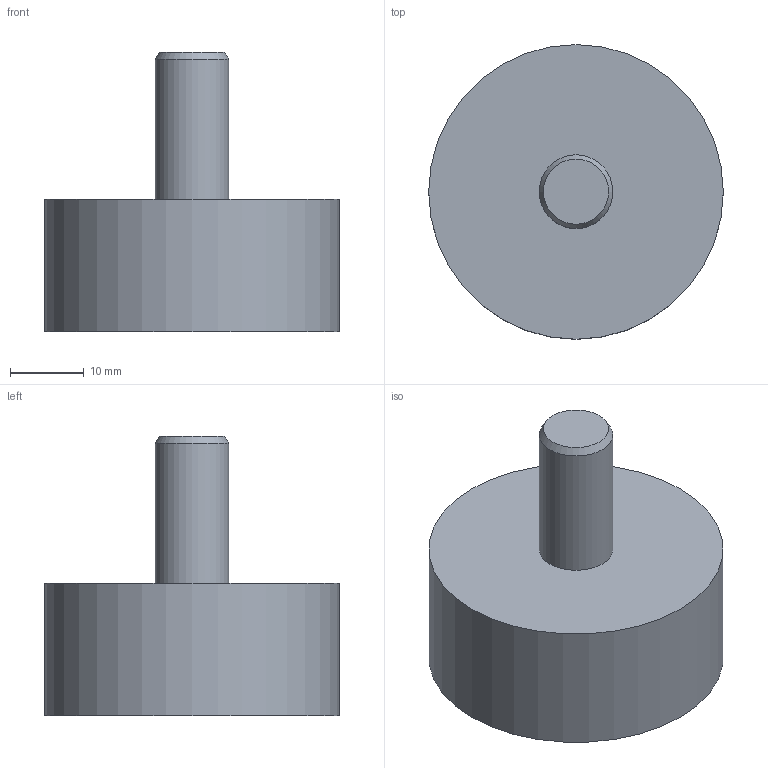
import cadquery as cq
import math

BODY_DIAMETER = 40.0
BODY_HEIGHT = 18.0
STUD_DIAMETER = 10.0
STUD_LENGTH = 20.0
TIP_CHAMFER_LENGTH = 1.0
TIP_CHAMFER_ANGLE = 30.0

TIP_CHAMFER_DEPTH = TIP_CHAMFER_LENGTH * math.tan(math.radians(TIP_CHAMFER_ANGLE))


def make_body():
    """Cylindrical body standing on the XY plane."""
    return cq.Workplane("XY").circle(BODY_DIAMETER / 2).extrude(BODY_HEIGHT)


def make_stud():
    """Stud rising from the body's top face, with a chamfered tip."""
    stud_radius = STUD_DIAMETER / 2
    tip_radius = stud_radius - TIP_CHAMFER_DEPTH
    top = BODY_HEIGHT + STUD_LENGTH
    half_profile = (
        cq.Workplane("XZ")
        .moveTo(0, BODY_HEIGHT)
        .lineTo(stud_radius, BODY_HEIGHT)
        .lineTo(stud_radius, top - TIP_CHAMFER_LENGTH)
        .lineTo(tip_radius, top)
        .lineTo(0, top)
        .close()
    )
    return half_profile.revolve(360, (0, 0, 0), (0, 1, 0))


result = make_body().union(make_stud())